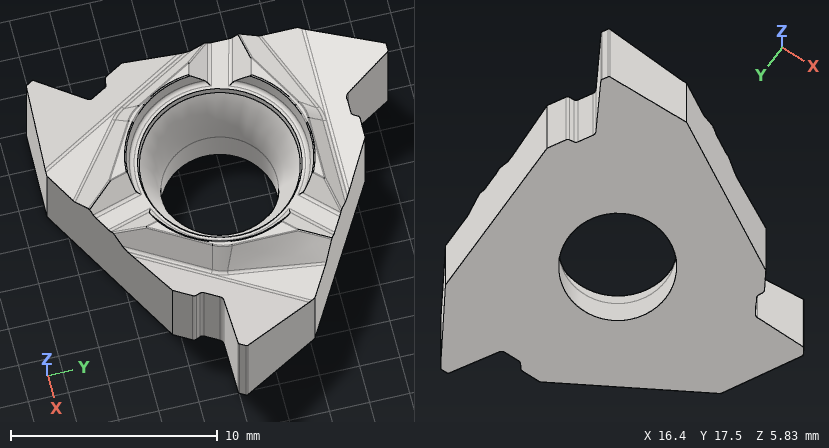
import cadquery as cq
import math

TEETH = 3
STEP_ANGLE = -360 / TEETH
HEIGHT = 5.83
SIDE_DISTANCE = 6.36

TIP_Y = 9.29
TIP_WIDTH = 0.44
FLANK_ANGLE = 59
FLANK_START_Y = 5.45
ROOT_Y = 6.82
ROOT_END_X = -1.07
SHOULDER_Y = 7.17
SHOULDER_START_X = -0.8
TIP_ROUND = 0.09
ROOT_ROUND = 0.26
STEP_ROUND = 0.21

FLOOR_Z = 4.59
FACE_START_Y = 5.7
FACE_ANGLE = 15.4
FACE_ROUND = 0.58
WALL_FOOT_ROUND = 0.21
WALL_FOOT_CORNER = (-1.58, 5.48)
WALL_FOOT_ANGLE = 22.2
WALL_TOP_CORNER = (-1.47, 4.66)
WALL_TOP_ANGLE = 30
WALL_CORNER_ROUND = 2.28
REACH = 10.51

SLOT_ANGLE = 46
SLOT_FLOOR_Z = 5.05
SLOT_FLOOR_WIDTH = 1.05
SLOT_TOP_WIDTH = 3.01
SLOT_FOOT_ROUND = 0.3

HOLE_RADIUS = 5.7 / 2
SEAT_START_Z = 1.98
SEAT_END_Z = 4.78
SEAT_END_RADIUS = 3.89
LEDGE_Z = SLOT_FLOOR_Z
LEDGE_INNER_RADIUS = 3.98
LEDGE_OUTER_RADIUS = 4.33
RIM_RADIUS = 4.55
LEDGE_ROUND = 0.25

CREST_ROUND = 0.07
RIDGE_POINTS = [(-5.57, 2.63, 5.59), (3.15, 4.87, 5.52)]


def turn(point, degrees):
    """Rotate a plan point about the hole axis."""
    a = math.radians(degrees)
    x, y = point
    return (x * math.cos(a) - y * math.sin(a), x * math.sin(a) + y * math.cos(a))


def copies_around(shape):
    return [shape.rotate((0, 0, 0), (0, 0, 1), i * STEP_ANGLE) for i in range(TEETH)]


flank_slope = math.tan(math.radians(FLANK_ANGLE))
tip_left_x = -SIDE_DISTANCE + (TIP_Y - FLANK_START_Y) / flank_slope
tip_right_x = tip_left_x + TIP_WIDTH
root_start_x = tip_right_x + (TIP_Y - ROOT_Y) / flank_slope
side_direction = math.radians(180 / TEETH)
shoulder_end_x = (SIDE_DISTANCE - SHOULDER_Y * math.sin(side_direction)) / math.cos(side_direction)
tip_points = [(tip_left_x, TIP_Y), (tip_right_x, TIP_Y)]
root_point = (root_start_x, ROOT_Y)
step_points = [(ROOT_END_X, ROOT_Y), (SHOULDER_START_X, SHOULDER_Y)]
tooth_points = [
    (-SIDE_DISTANCE, FLANK_START_Y),
    *tip_points,
    root_point,
    *step_points,
    (shoulder_end_x, SHOULDER_Y),
]


def round_edges_at(body, points, radius):
    """Round the upright edges that stand at the given plan points of every tooth."""
    half_box = 0.04
    for i in range(TEETH):
        for x, y in (turn(p, i * STEP_ANGLE) for p in points):
            box = cq.selectors.BoxSelector(
                (x - half_box, y - half_box, 0), (x + half_box, y + half_box, HEIGHT)
            )
            body = body.edges("|Z").edges(box).fillet(radius)
    return body


def make_body():
    outline = [turn(p, i * STEP_ANGLE) for i in range(TEETH) for p in tooth_points]
    body = cq.Workplane("XY").polyline(outline).close().extrude(HEIGHT)
    body = round_edges_at(body, tip_points, TIP_ROUND)
    body = round_edges_at(body, [root_point], ROOT_ROUND)
    return round_edges_at(body, step_points, STEP_ROUND)


def wall_outline(corner, left_angle):
    """Plan of everything on the tooth side of the wall, at one height."""
    x, y = corner
    left_y = y - (REACH + x) * math.tan(math.radians(left_angle))
    return [(REACH, y), corner, (-REACH, left_y), (-REACH, REACH), (REACH, REACH)]


def make_pocket():
    """Material removed in front of the wall and above the floor and tooth face."""
    wall_side = (
        cq.Workplane("XY", origin=(0, 0, FLOOR_Z))
        .polyline(wall_outline(WALL_FOOT_CORNER, WALL_FOOT_ANGLE)).close()
        .workplane(offset=HEIGHT - FLOOR_Z)
        .polyline(wall_outline(WALL_TOP_CORNER, WALL_TOP_ANGLE)).close()
        .loft(ruled=True)
    )
    foot_x, foot_y = WALL_FOOT_CORNER
    top_x, top_y = WALL_TOP_CORNER
    middle = ((foot_x + top_x) / 2, (foot_y + top_y) / 2, (FLOOR_Z + HEIGHT) / 2)
    wall_side = wall_side.edges(cq.selectors.NearestToPointSelector(middle)).fillet(WALL_CORNER_ROUND)

    face_rise = (REACH - FACE_START_Y) * math.tan(math.radians(FACE_ANGLE))
    above_floor = (
        cq.Workplane("YZ", origin=(-REACH, 0, 0))
        .moveTo(-REACH, FLOOR_Z)
        .lineTo(FACE_START_Y, FLOOR_Z)
        .lineTo(REACH, FLOOR_Z + face_rise)
        .lineTo(REACH, 2 * HEIGHT)
        .lineTo(-REACH, 2 * HEIGHT)
        .close()
        .extrude(2 * REACH)
    )
    fold = cq.selectors.NearestToPointSelector((0, FACE_START_Y, FLOOR_Z))
    above_floor = above_floor.edges(fold).fillet(FACE_ROUND)
    pocket = wall_side.intersect(above_floor)
    margin = 0.02
    foot = cq.selectors.BoxSelector(
        (-REACH + margin, -REACH, FLOOR_Z - margin), (REACH, foot_y + margin, FLOOR_Z + margin)
    )
    return pocket.edges(foot).fillet(WALL_FOOT_ROUND)


def make_slot():
    top_half = SLOT_TOP_WIDTH / 2
    floor_half = SLOT_FLOOR_WIDTH / 2
    section = [
        (-top_half, HEIGHT),
        (-floor_half, SLOT_FLOOR_Z),
        (floor_half, SLOT_FLOOR_Z),
        (top_half, HEIGHT),
    ]
    slot = (
        cq.Workplane("YZ")
        .polyline(section)
        .close()
        .extrude(REACH)
        .edges("|X and <Z")
        .fillet(SLOT_FOOT_ROUND)
    )
    return slot.rotate((0, 0, 0), (0, 0, 1), SLOT_ANGLE)


def make_hole():
    """Revolved screw hole; the seat is an arc tangent to the straight bore."""
    rise = SEAT_END_Z - SEAT_START_Z
    widening = SEAT_END_RADIUS - HOLE_RADIUS
    seat_angle = 2 * math.atan2(widening, rise)
    seat_radius = rise / math.sin(seat_angle)
    seat_middle = (
        HOLE_RADIUS + seat_radius * (1 - math.cos(seat_angle / 2)),
        SEAT_START_Z + seat_radius * math.sin(seat_angle / 2),
    )
    bore = (
        cq.Workplane("XZ")
        .lineTo(HOLE_RADIUS, 0)
        .lineTo(HOLE_RADIUS, SEAT_START_Z)
        .threePointArc(seat_middle, (SEAT_END_RADIUS, SEAT_END_Z))
        .lineTo(LEDGE_INNER_RADIUS, LEDGE_Z)
        .lineTo(0, LEDGE_Z)
        .close()
        .revolve(360)
    )
    flare = (
        cq.Workplane("XY", origin=(0, 0, LEDGE_Z))
        .circle(LEDGE_OUTER_RADIUS)
        .workplane(offset=HEIGHT - LEDGE_Z)
        .circle(RIM_RADIUS)
        .loft(ruled=True)
        .faces("<Z")
        .edges()
        .fillet(LEDGE_ROUND)
    )
    return bore.union(flare)


def round_crest(body):
    """Round every edge of the top faces and the ridges between slots and pocket walls."""
    edges = body.faces(">Z").edges().vals()
    for i in range(TEETH):
        for x, y, z in RIDGE_POINTS:
            ridge_x, ridge_y = turn((x, y), i * STEP_ANGLE)
            ridge = cq.selectors.NearestToPointSelector((ridge_x, ridge_y, z))
            edges += body.edges(ridge).vals()
    return body.newObject(edges).fillet(CREST_ROUND)


result = make_body()
for cutter in (make_pocket(), make_slot()):
    for copy in copies_around(cutter):
        result = result.cut(copy)
result = result.cut(make_hole())
result = round_crest(result)